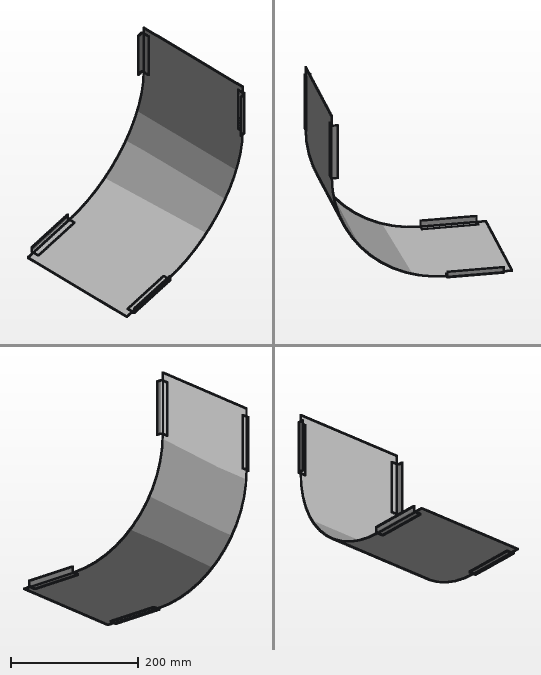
import cadquery as cq
import math

overall_width = 208.0
overall_length = 290.5

sheet_width = 200.0
sheet_thickness = 0.7
flat_length = 105.2

clip_thickness = 1.1
clip_length = 90.0
clip_flange = 14.0
clip_leg = 10.2
clip_bend_radius = 2.0
clip_end_gap = 1.0

sheet_back = overall_length - clip_thickness
sheet_bottom = clip_thickness
bend_radius = sheet_back - flat_length
bend_center_y = flat_length
bend_center_z = sheet_bottom + bend_radius


def make_sheet():
    """One constant-thickness sheet running along Y, round the bend and up Z."""
    inner_radius = bend_radius - sheet_thickness
    diagonal = math.sqrt(0.5)
    outer_mid = (bend_center_y + bend_radius * diagonal, bend_center_z - bend_radius * diagonal)
    inner_mid = (bend_center_y + inner_radius * diagonal, bend_center_z - inner_radius * diagonal)
    return (
        cq.Workplane("YZ", origin=(-sheet_width / 2, 0, 0))
        .moveTo(0, sheet_bottom)
        .lineTo(bend_center_y, sheet_bottom)
        .threePointArc(outer_mid, (sheet_back, bend_center_z))
        .lineTo(sheet_back, overall_length)
        .lineTo(sheet_back - sheet_thickness, overall_length)
        .lineTo(sheet_back - sheet_thickness, bend_center_z)
        .threePointArc(inner_mid, (bend_center_y, sheet_bottom + sheet_thickness))
        .lineTo(0, sheet_bottom + sheet_thickness)
        .close()
        .extrude(sheet_width)
    )


def make_bottom_clip():
    """Angle clip under the horizontal flat, on the -X edge."""
    outer_x = -overall_width / 2
    clip_end_y = bend_center_y - clip_end_gap
    clip = (
        cq.Workplane("XZ", origin=(outer_x, clip_end_y, 0))
        .polyline([
            (0, 0),
            (clip_flange, 0),
            (clip_flange, clip_thickness),
            (clip_thickness, clip_thickness),
            (clip_thickness, clip_leg),
            (0, clip_leg),
        ])
        .close()
        .extrude(clip_length)
    )
    inner_corner = (outer_x + clip_thickness, clip_end_y - clip_length / 2, clip_thickness)
    clip = clip.edges("|Y").edges("<X and <Z").fillet(clip_bend_radius)
    inner_edge = cq.selectors.NearestToPointSelector(inner_corner)
    return clip.edges("|Y").edges(inner_edge).fillet(clip_bend_radius - clip_thickness)


def make_clips():
    """A mirrored pair of clips on each flat end of the sheet."""
    bottom_clip = make_bottom_clip()
    upright_clip = (
        bottom_clip
        .rotate((0, 0, 0), (1, 0, 0), 90)
        .mirror("XY")
        .translate((0, overall_length, overall_length))
    )
    clips = []
    for clip in (bottom_clip, upright_clip):
        clips.append(clip.val())
        clips.append(clip.mirror("YZ").val())
    return clips


sheet = make_sheet()
clips = make_clips()

result = cq.Compound.makeCompound([sheet.val(), *clips])